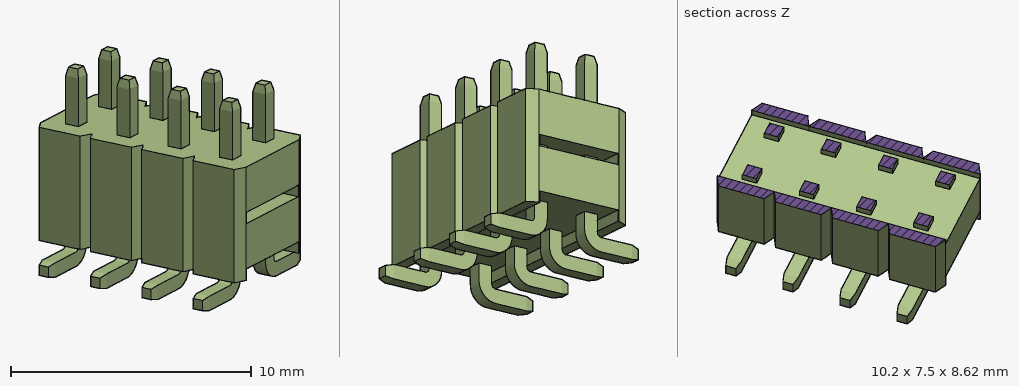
import cadquery as cq
import math

columns = 4
pitch = 2.54

body_length = columns * pitch
body_width = 2 * pitch
body_height = 5.0
body_bottom = 1.12
notch_half_width = 0.25
notch_depth = 0.51

side_wall = 0.56
channel_width = body_width - 2 * side_wall
channel_height = 0.5
block_height = body_height / 2 - channel_height

pin_size = 0.64
pin_top = 8.62
foot_span = 7.5
inner_bend_radius = 0.2
outer_bend_radius = inner_bend_radius + pin_size
tip_length = 0.38
tip_size = 0.46


def body_outline():
    """Plan of the body: each pitch is one octagon, so V notches appear where neighbours meet."""
    half_pitch = pitch / 2
    half_width = body_width / 2
    flat_half_length = half_pitch - notch_half_width
    flat_half_width = half_width - notch_depth
    return [
        (-half_pitch, -flat_half_width),
        (-flat_half_length, -half_width),
        (flat_half_length, -half_width),
        (half_pitch, -flat_half_width),
        (half_pitch, flat_half_width),
        (flat_half_length, half_width),
        (-flat_half_length, half_width),
        (-half_pitch, flat_half_width),
    ]


def make_body(column_positions):
    """Solid body, joined from one octagonal prism per column."""
    section = (
        cq.Workplane("XY", origin=(0, 0, body_bottom))
        .polyline(body_outline())
        .close()
        .extrude(body_height)
    )
    body = cq.Workplane("XY")
    for x in column_positions:
        body = body.union(section.translate((x, 0, 0)))
    return body


def cut_channels(body):
    """Cut one channel under the body and one between its two solid blocks."""
    middle_channel_bottom = body_bottom + channel_height + block_height
    for channel_bottom in (body_bottom, middle_channel_bottom):
        channel = cq.Workplane("XY", origin=(0, 0, channel_bottom)).box(
            body_length, channel_width, channel_height, centered=(True, True, False)
        )
        body = body.cut(channel)
    return body


def make_tip(plane):
    """Tapered pin end, growing from the given plane along its normal."""
    return (
        cq.Workplane(plane)
        .rect(pin_size, pin_size)
        .workplane(offset=tip_length)
        .rect(tip_size, tip_size)
        .loft(ruled=True)
    )


def make_pin():
    """One pin centred on X = 0 in the +Y row, with its foot pointing to +Y."""
    row = pitch / 2
    inner_side = row - pin_size / 2
    outer_side = row + pin_size / 2
    bend_y = outer_side + inner_bend_radius
    bend_z = outer_bend_radius
    shank_top = pin_top - tip_length
    foot_end = foot_span / 2 - tip_length

    diagonal = math.sqrt(0.5)
    outer_mid = (bend_y - outer_bend_radius * diagonal, bend_z - outer_bend_radius * diagonal)
    inner_mid = (bend_y - inner_bend_radius * diagonal, bend_z - inner_bend_radius * diagonal)

    bent_bar = (
        cq.Workplane("YZ")
        .moveTo(inner_side, shank_top)
        .lineTo(inner_side, bend_z)
        .threePointArc(outer_mid, (bend_y, 0))
        .lineTo(foot_end, 0)
        .lineTo(foot_end, pin_size)
        .lineTo(bend_y, pin_size)
        .threePointArc(inner_mid, (outer_side, bend_z))
        .lineTo(outer_side, shank_top)
        .close()
        .extrude(pin_size / 2, both=True)
    )
    contact_tip = make_tip(cq.Plane((0, row, shank_top), (1, 0, 0), (0, 0, 1)))
    foot_tip = make_tip(cq.Plane((0, foot_end, pin_size / 2), (1, 0, 0), (0, 1, 0)))
    return bent_bar.union(contact_tip).union(foot_tip)


column_positions = [(i - (columns - 1) / 2) * pitch for i in range(columns)]

result = cut_channels(make_body(column_positions))
back_pin = make_pin()
front_pin = back_pin.mirror("XZ")
for x in column_positions:
    result = result.union(back_pin.translate((x, 0, 0)))
    result = result.union(front_pin.translate((x, 0, 0)))